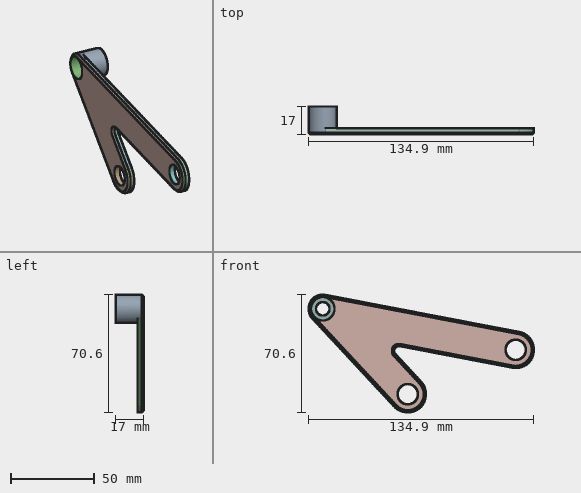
import cadquery as cq
import math

overall_length = 134.9
overall_height = 70.6
boss_diameter = 17.0
boss_length = 17.0
boss_bore = 8.0
counterbore_diameter = 14.0
counterbore_depth = 8.0
plate_thickness = 3.9
edge_chamfer = 1.3
eye_radius = 10.9
eye_hole = 12.0
long_eye_drop = 24.5
short_eye_offset = 50.9
crotch_radius = 2.8

boss_radius = boss_diameter / 2
long_eye = (overall_length - boss_radius - eye_radius, -long_eye_drop)
short_eye = (short_eye_offset, boss_radius + eye_radius - overall_height)


def offset_point(point, distance, angle):
    return (point[0] + distance * math.cos(angle), point[1] + distance * math.sin(angle))


def edge_reach(eye, normal):
    """Distance from the boss axis to the line touching an eye where its normal points."""
    return eye[0] * math.cos(normal) + eye[1] * math.sin(normal) + eye_radius


def plate_outline():
    """Two arms with rounded eyes: outer edges tangent to the boss, inner edges parallel to them."""
    long_angle = math.atan2(long_eye[1], long_eye[0])
    short_angle = math.atan2(short_eye[1], short_eye[0])
    radius_growth = eye_radius - boss_radius

    top_normal = long_angle + math.acos(-radius_growth / math.hypot(*long_eye))
    low_normal = short_angle - math.acos(-radius_growth / math.hypot(*short_eye))

    inner_long_normal = top_normal - math.pi
    inner_short_normal = low_normal + math.pi

    long_reach = edge_reach(long_eye, inner_long_normal)
    short_reach = edge_reach(short_eye, inner_short_normal)
    spread = math.sin(inner_short_normal - inner_long_normal)
    crotch = (
        (long_reach * math.sin(inner_short_normal) - short_reach * math.sin(inner_long_normal)) / spread,
        (short_reach * math.cos(inner_long_normal) - long_reach * math.cos(inner_short_normal)) / spread,
    )

    outline = (
        cq.Workplane("XZ")
        .moveTo(*offset_point((0, 0), boss_radius, top_normal))
        .lineTo(*offset_point(long_eye, eye_radius, top_normal))
        .threePointArc(
            offset_point(long_eye, eye_radius, long_angle),
            offset_point(long_eye, eye_radius, inner_long_normal),
        )
        .lineTo(*crotch)
        .lineTo(*offset_point(short_eye, eye_radius, inner_short_normal))
        .threePointArc(
            offset_point(short_eye, eye_radius, short_angle),
            offset_point(short_eye, eye_radius, low_normal),
        )
        .lineTo(*offset_point((0, 0), boss_radius, low_normal))
        .threePointArc(
            offset_point((0, 0), boss_radius, (long_angle + short_angle) / 2 + math.pi),
            offset_point((0, 0), boss_radius, top_normal),
        )
        .close()
    )
    return outline, crotch


def cylinder(center, diameter, length):
    """Cylinder running from the front face toward +Y."""
    return cq.Workplane("XZ").center(*center).circle(diameter / 2).extrude(-length)


outline, crotch = plate_outline()
plate = outline.extrude(-plate_thickness)
crotch_middle = (crotch[0], plate_thickness / 2, crotch[1])
plate = plate.edges(cq.selectors.NearestToPointSelector(crotch_middle)).fillet(crotch_radius)
plate = plate.faces("<Y").chamfer(edge_chamfer)

boss = cylinder((0, 0), boss_diameter, boss_length - plate_thickness)
boss = boss.rotate((0, 0, 0), (0, 1, 0), 180).translate((0, plate_thickness, 0))
result = plate.union(boss)

result = result.cut(cylinder((0, 0), boss_bore, boss_length))
result = result.cut(cylinder((0, 0), counterbore_diameter, counterbore_depth))
for eye in (long_eye, short_eye):
    result = result.cut(cylinder(eye, eye_hole, plate_thickness))